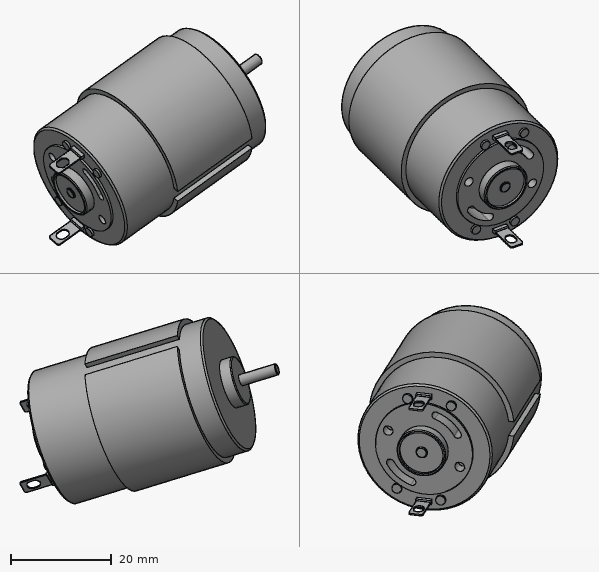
import cadquery as cq
import math

OVERALL_LENGTH = 55.1

CAN_DIAMETER = 27.7
CAN_FRONT = 6.9
CAN_REAR = 44.75
CAN_CHAMFER = 0.4
RING_DIAMETER = 29.9
RING_FRONT = 19.85
RING_REAR = 39.8
RING_GAP = 3.15
BOSS_DIAMETER = 10.05
BOSS_FRONT = 4.25
BOSS_REAR = 47.2
BOSS_CHAMFER = 0.2
RECESS_DIAMETER = 9.0
RECESS_DEPTH = 0.55

SHAFT_DIAMETER = 2.3
SHAFT_CHAMFER = 0.15
SHAFT_FRONT = 4.45

PLATE_DIAMETER = 20.0
PLATE_FRONT = 6.4
OPENING_RADIUS = 8.0
HOLE_DIAMETER = 2.0
HOLE_DEPTH = 2.5
HOLE_ANGLES = (157.5, 337.5)
VENT_WIDTH = 1.6
VENT_DEPTH = 4.95
VENT_START_ANGLE = 30.0
VENT_END_ANGLE = 72.0
RIVET_DIAMETER = 2.0
INNER_RIVET_RADIUS = 11.1
INNER_RIVET_ANGLES = (108.0, 239.5)
OUTER_RIVET_RADIUS = 11.5
OUTER_RIVET_ANGLES = (61.0, 287.2)

TERMINAL_OFFSET = 11.55
BLADE_WIDTH = 2.9
BLADE_THICKNESS = 0.35
BLADE_CORNER = 0.5
BASE_WIDTH = 3.15
BASE_THICKNESS = 0.9
BASE_FRONT = 5.85
BASE_TAPER = 0.2
EYE_WIDTH = 2.0
EYE_LENGTH = 2.75
EYE_CENTER = 2.5


def cylinder(diameter, start, end, x=0.0, z=0.0):
    """Cylinder parallel to Y between two Y positions."""
    plane = cq.Plane(origin=(x, start, z), xDir=(1, 0, 0), normal=(0, 1, 0))
    return cq.Workplane(plane).circle(diameter / 2).extrude(end - start)


def polar(radius, angle):
    """X and Z of a point on the front face."""
    return radius * math.cos(math.radians(angle)), radius * math.sin(math.radians(angle))


def make_ring():
    ring = cylinder(RING_DIAMETER, RING_FRONT, RING_REAR)
    ring = ring.cut(cylinder(CAN_DIAMETER, RING_FRONT, RING_REAR))
    gap = cq.Workplane("XY").box(RING_DIAMETER, RING_REAR - RING_FRONT, RING_GAP)
    return ring.cut(gap.translate((RING_DIAMETER / 2, (RING_FRONT + RING_REAR) / 2, 0)))


def make_vent():
    """Arc-shaped vent with round ends, cut from the plate face."""
    inner = OPENING_RADIUS - VENT_WIDTH / 2
    outer = OPENING_RADIUS + VENT_WIDTH / 2
    middle = (VENT_START_ANGLE + VENT_END_ANGLE) / 2
    end_overhang = math.degrees(VENT_WIDTH / 2 / OPENING_RADIUS)
    plane = cq.Plane(origin=(0, PLATE_FRONT, 0), xDir=(1, 0, 0), normal=(0, -1, 0))
    return (
        cq.Workplane(plane)
        .moveTo(*polar(inner, VENT_START_ANGLE))
        .threePointArc(polar(inner, middle), polar(inner, VENT_END_ANGLE))
        .threePointArc(
            polar(OPENING_RADIUS, VENT_END_ANGLE + end_overhang), polar(outer, VENT_END_ANGLE)
        )
        .threePointArc(polar(outer, middle), polar(outer, VENT_START_ANGLE))
        .threePointArc(
            polar(OPENING_RADIUS, VENT_START_ANGLE - end_overhang), polar(inner, VENT_START_ANGLE)
        )
        .close()
        .extrude(-VENT_DEPTH)
    )


def make_terminal():
    """Solder blade with a slotted eye on a wider, tapered base."""
    blade = (
        cq.Workplane("XY")
        .box(BLADE_WIDTH, CAN_FRONT, BLADE_THICKNESS, centered=(True, False, True))
        .edges("|Z and <Y")
        .fillet(BLADE_CORNER)
    )
    eye = (
        cq.Workplane("XY")
        .center(0, EYE_CENTER)
        .slot2D(EYE_LENGTH, EYE_WIDTH, 90)
        .extrude(BLADE_THICKNESS, both=True)
    )
    base = (
        cq.Workplane("XY")
        .box(BASE_WIDTH, CAN_FRONT - BASE_FRONT, BASE_THICKNESS, centered=(True, False, True))
        .translate((0, BASE_FRONT, 0))
        .edges("|X and <Y")
        .chamfer(BASE_TAPER)
    )
    return blade.cut(eye).union(base)


can = cylinder(CAN_DIAMETER, CAN_FRONT, CAN_REAR).faces("<Y or >Y").chamfer(CAN_CHAMFER)
bosses = cylinder(BOSS_DIAMETER, BOSS_FRONT, BOSS_REAR).faces("<Y or >Y").chamfer(BOSS_CHAMFER)
bosses = bosses.cut(cylinder(RECESS_DIAMETER, BOSS_FRONT, BOSS_FRONT + RECESS_DEPTH))
shaft = cylinder(SHAFT_DIAMETER, SHAFT_FRONT, OVERALL_LENGTH).faces("<Y or >Y").chamfer(SHAFT_CHAMFER)
plate = cylinder(PLATE_DIAMETER, PLATE_FRONT, CAN_FRONT)
result = can.union(make_ring()).union(bosses).union(shaft).union(plate)

for angle in HOLE_ANGLES:
    x, z = polar(OPENING_RADIUS, angle)
    result = result.cut(cylinder(HOLE_DIAMETER, PLATE_FRONT, PLATE_FRONT + HOLE_DEPTH, x, z))
vent = make_vent()
for turn in (0, 180):
    result = result.cut(vent.rotate((0, 0, 0), (0, 1, 0), turn))

for radius, angles in (
    (INNER_RIVET_RADIUS, INNER_RIVET_ANGLES),
    (OUTER_RIVET_RADIUS, OUTER_RIVET_ANGLES),
):
    for angle in angles:
        result = result.union(cylinder(RIVET_DIAMETER, PLATE_FRONT, CAN_FRONT, *polar(radius, angle)))

terminal = make_terminal()
for side in (-1, 1):
    result = result.union(terminal.translate((0, 0, side * TERMINAL_OFFSET)))